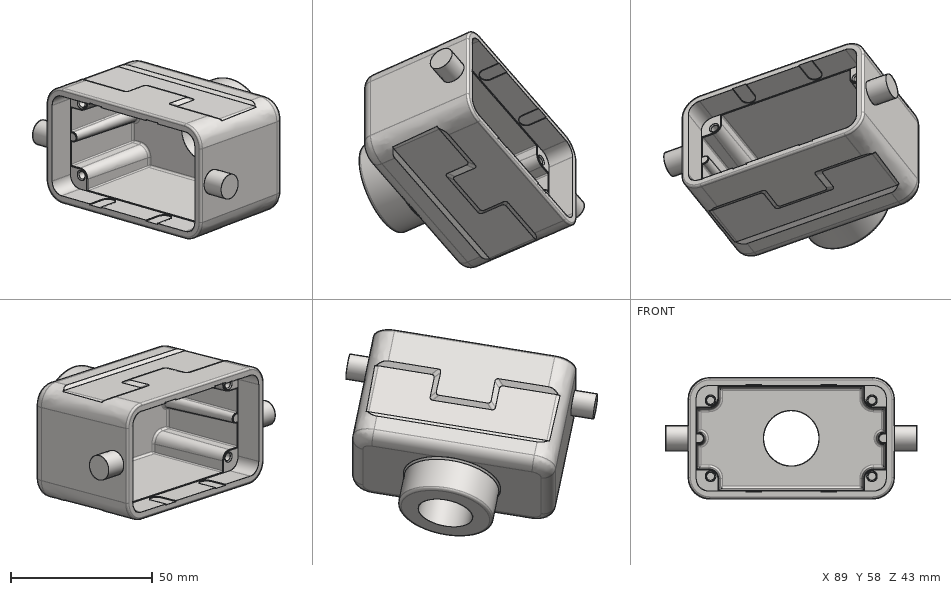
import cadquery as cq
import math


shell_width = 73.0
mouth_height = 43.0
back_height = 42.3
shell_depth = 45.1
shell_corner = 7.65
back_round = 4.45
rim_round = 0.8

total_depth = 58.0
collar_radius = 17.0
collar_round = 1.1
flare_growth = 0.5
flare_length = 0.8
collar_embed = 0.9
bore_radius = 9.8

pin_span = 89.0
pin_radius = 4.5
pin_y = 6.3

cavity_width = 67.3
cavity_height = 37.3
cavity_corner = 4.45
mouth_depth = 9.8
back_wall = 2.9
draft_angle = 1.2
floor_round = 0.8
inner_corner_round = 0.45
floor_y = shell_depth - back_wall

post_x = 26.0
post_z = 11.1
post_round = 3.1
entry_bevel = 0.3
rib_tip_x = 31.1
rib_radius = 1.5
screw_x = 28.6
screw_z = 13.4
screw_radius = 1.4
screw_depth = 10.7
screw_countersink = 0.45

key_x = 13.3
key_width = 5.3
key_depth = 0.4
key_end_y = 9.35

recess_floor_z = 20.3
recess_front_y = 14.9
recess_back_y = 33.6
notch_half_width = 11.75
notch_y = 25.0
recess_slope = 1.8
recess_slope_top_z = 21.3
recess_corner = 1.2
end_bevel_x = 32.0
end_bevel_run = 1.1
end_bevel_drop = 0.31

OVERSHOOT = 0.9


def facing_back(y):
    """Workplane at depth y whose normal is +Y (local x is X, local y is -Z)."""
    return cq.Workplane(cq.Plane(origin=(0, y, 0), xDir=(1, 0, 0), normal=(0, 1, 0)))


def rounded_rectangle(width, height, radius):
    return cq.Sketch().rect(width, height).vertices().fillet(radius)


def make_shell():
    shell = (
        facing_back(0)
        .placeSketch(
            rounded_rectangle(shell_width, mouth_height, shell_corner),
            rounded_rectangle(shell_width, back_height, shell_corner).moved(
                cq.Location(cq.Vector(0, 0, shell_depth))
            ),
        )
        .loft()
    )
    return shell.faces(">Y").edges().fillet(back_round).faces("<Y").edges().fillet(rim_round)


def make_collar():
    start_y = shell_depth - collar_embed
    collar = (
        facing_back(start_y)
        .circle(collar_radius)
        .extrude(total_depth - start_y)
        .faces(">Y")
        .edges()
        .fillet(collar_round)
    )
    flare_radius = collar_radius + flare_growth
    flare = cq.Solid.makeCone(
        flare_radius,
        collar_radius,
        flare_length,
        pnt=cq.Vector(0, shell_depth, 0),
        dir=cq.Vector(0, 1, 0),
    )
    foot = facing_back(start_y).circle(flare_radius).extrude(collar_embed)
    return collar.union(foot).union(flare)


def make_pins():
    return (
        cq.Workplane("YZ")
        .center(pin_y, 0)
        .circle(pin_radius)
        .extrude(pin_span / 2, both=True)
    )


def inner_cavity_outline(y, inset):
    """Outline around the four posts and two ribs at depth y, shrunk by inset."""
    half_width = cavity_width / 2 - inset
    half_height = cavity_height / 2 - inset
    rib_size = rib_radius + inset
    rib_center_x = rib_tip_x + rib_radius
    rib_mid = rib_size * math.sqrt(0.5)
    post_size = post_round + inset
    post_center_x = post_x + post_round
    post_center_z = post_z + post_round
    post_mid = post_size * math.sqrt(0.5)

    return (
        facing_back(y)
        .moveTo(0, half_height)
        .lineTo(post_x - inset, half_height)
        .lineTo(post_x - inset, post_center_z)
        .threePointArc(
            (post_center_x - post_mid, post_center_z - post_mid),
            (post_center_x, post_z - inset),
        )
        .lineTo(half_width, post_z - inset)
        .lineTo(half_width, rib_size)
        .lineTo(rib_center_x, rib_size)
        .threePointArc((rib_center_x - rib_mid, rib_mid), (rib_center_x - rib_size, 0))
        .mirrorX()
        .mirrorY()
    )


def make_cavity():
    mouth = (
        facing_back(-OVERSHOOT)
        .placeSketch(rounded_rectangle(cavity_width, cavity_height, cavity_corner))
        .extrude(mouth_depth + OVERSHOOT)
    )
    entry = inner_cavity_outline(mouth_depth, 0).extrude(entry_bevel, taper=45)
    inner_y = mouth_depth + entry_bevel
    inner = inner_cavity_outline(inner_y, entry_bevel).extrude(floor_y - inner_y, taper=draft_angle)
    lengthwise_edges = cq.selectors.BoxSelector(
        (-cavity_width, inner_y + OVERSHOOT, -cavity_height),
        (cavity_width, floor_y - OVERSHOOT, cavity_height),
    )
    inner = inner.edges(lengthwise_edges).fillet(inner_corner_round)
    inner = inner.faces(">Y").edges().fillet(floor_round)
    return mouth.union(entry).union(inner)


def make_bore():
    return facing_back(0).circle(bore_radius).extrude(total_depth + OVERSHOOT)


def make_screw_holes():
    corners = [(sx * screw_x, sz * screw_z) for sx in (-1, 1) for sz in (-1, 1)]
    holes = facing_back(mouth_depth).pushPoints(corners).circle(screw_radius).extrude(screw_depth)
    mouth_radius = screw_radius + screw_countersink
    for x, z in corners:
        cone = cq.Solid.makeCone(
            mouth_radius,
            screw_radius,
            screw_countersink,
            pnt=cq.Vector(x, mouth_depth, z),
            dir=cq.Vector(0, 1, 0),
        )
        holes = holes.union(cone)
    return holes


def make_key_slots():
    straight_end = key_end_y - key_width / 2
    slot_top = cavity_height / 2 + key_depth
    slots = cq.Workplane("XY")
    for x in (-key_x, key_x):
        slot = (
            cq.Workplane("XY", origin=(x, 0, -slot_top))
            .moveTo(-key_width / 2, -OVERSHOOT)
            .lineTo(key_width / 2, -OVERSHOOT)
            .lineTo(key_width / 2, straight_end)
            .threePointArc((0, key_end_y), (-key_width / 2, straight_end))
            .close()
            .extrude(2 * slot_top)
        )
        slots = slots.add(slot)
    return slots.combine()


def recess_outline(grow):
    """U-shaped outline of a label recess, grown outward by the given amount."""
    end_x = shell_width / 2 + OVERSHOOT
    front_y = recess_front_y - grow
    back_y = recess_back_y + grow
    inner_x = notch_half_width - grow
    inner_y = notch_y - grow
    corners = [
        (-end_x, front_y),
        (-inner_x, front_y),
        (-inner_x, inner_y),
        (inner_x, inner_y),
        (inner_x, front_y),
        (end_x, front_y),
        (end_x, back_y),
        (-end_x, back_y),
    ]
    sketch = cq.Sketch().polygon(corners + corners[:1])
    notch = cq.selectors.BoxSelector(
        (-notch_half_width - OVERSHOOT, front_y - OVERSHOOT, -OVERSHOOT),
        (notch_half_width + OVERSHOOT, notch_y + OVERSHOOT, OVERSHOOT),
    )
    return sketch.vertices(notch).fillet(recess_corner)


def make_recess():
    slope_height = recess_slope_top_z - recess_floor_z
    rise = slope_height + OVERSHOOT
    grow = recess_slope * rise / slope_height
    recess = (
        cq.Workplane("XY", origin=(0, 0, recess_floor_z))
        .placeSketch(
            recess_outline(0),
            recess_outline(grow).moved(cq.Location(cq.Vector(0, 0, rise))),
        )
        .loft(ruled=True)
    )
    bevel_run = 2 * end_bevel_run
    bevel_drop = 2 * end_bevel_drop
    bevel = (
        cq.Workplane("XZ", origin=(0, recess_front_y, 0))
        .moveTo(end_bevel_x, recess_floor_z)
        .lineTo(end_bevel_x + bevel_run, recess_floor_z - bevel_drop)
        .lineTo(end_bevel_x + bevel_run, recess_floor_z)
        .close()
        .extrude(recess_front_y - recess_back_y)
    )
    return recess.union(bevel).union(bevel.mirror("YZ"))


recess = make_recess()

result = (
    make_shell()
    .union(make_collar())
    .union(make_pins())
    .cut(make_cavity())
    .cut(make_bore())
    .cut(make_screw_holes())
    .cut(make_key_slots())
    .cut(recess)
    .cut(recess.mirror("XY"))
)